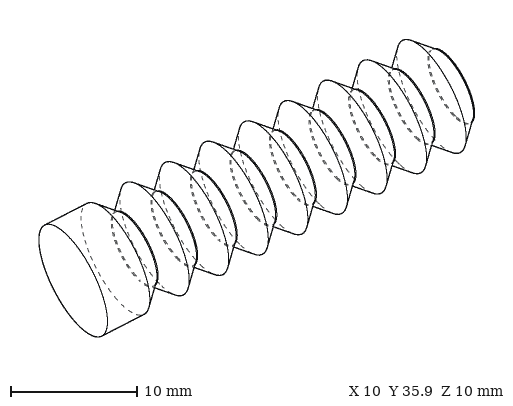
import cadquery as cq

total_length = 35.85
front_y = -total_length / 2
back_y = total_length / 2

ridge_count = 8
ridged_length = 29.98
pitch = ridged_length / ridge_count
land_width = 0.1
flank_length = (pitch - land_width) / 2
crest_radius = 10.0 / 2
root_radius = 3.3

cap_radius = 4.95
cap_length = 4.0
cap_back_y = front_y + cap_length


def root_land(land_back_y):
    """Radius and Y of both ends of one root land."""
    return [(root_radius, land_back_y), (root_radius, land_back_y - land_width)]


def ridged_outline():
    """Lands and crests from the back face to the land just behind the cap."""
    points = []
    for index in range(ridge_count):
        land_back_y = back_y - index * pitch
        points += root_land(land_back_y)
        points.append((crest_radius, land_back_y - land_width - flank_length))
    return points + root_land(back_y - ridged_length)


def cap_outline():
    """Side of the cap; the last flank rises from the land to its back edge."""
    return [(cap_radius, cap_back_y), (cap_radius, front_y)]


half_section = [(0, back_y)] + ridged_outline() + cap_outline() + [(0, front_y)]

result = cq.Workplane("XY").polyline(half_section).close().revolve(360, (0, 0, 0), (0, 1, 0))